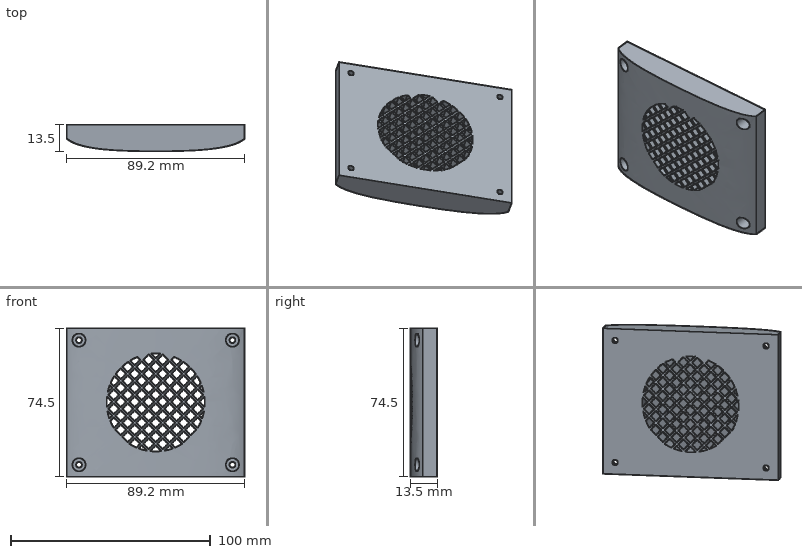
import cadquery as cq
import math

width = 89.2
height = 74.5
depth = 13.5
edge_depth = 7.1

crown_handle = 22.6
edge_handle = 6.2
edge_slope = 0.83

screw_x = 38.45
screw_z = 31.2
screw_diameter = 2.8
head_diameter = 6.6
head_floor_depth = 3.6

grille_diameter = 49.1
openings_across = 7
lattice_pitch = grille_diameter / openings_across
opening_side = 3.75
lattice_rise = 0.31
closed_steps = [(-2, 7), (2, 7)]


def make_plate():
    half_width = width / 2
    edge_y = -edge_depth
    handle_x = half_width - edge_handle
    handle_y = edge_y - edge_slope * edge_handle
    profile = (
        cq.Workplane("XY")
        .moveTo(-half_width, 0)
        .lineTo(-half_width, edge_y)
        .bezier(
            [(-half_width, edge_y), (-handle_x, handle_y), (-crown_handle, -depth), (0, -depth)]
        )
        .bezier([(0, -depth), (crown_handle, -depth), (handle_x, handle_y), (half_width, edge_y)])
        .lineTo(half_width, 0)
        .close()
    )
    return profile.extrude(height).translate((0, 0, -height / 2))


def make_screw_cuts():
    corners = [(x, z) for x in (-screw_x, screw_x) for z in (-screw_z, screw_z)]
    shanks = cq.Workplane("XZ").pushPoints(corners).circle(screw_diameter / 2).extrude(depth)
    heads = (
        cq.Workplane("XZ", origin=(0, -head_floor_depth, 0))
        .pushPoints(corners)
        .circle(head_diameter / 2)
        .extrude(depth - head_floor_depth)
    )
    return shanks.union(heads)


def opening_centres():
    step = lattice_pitch / 2
    reach = grille_diameter / 2 + opening_side / 2
    steps = range(-openings_across, openings_across + 1)
    centres = []
    for i in steps:
        for j in steps:
            x = i * step
            z = j * step + lattice_rise
            is_opening = (i + j) % 2 == 1 and (i, j) not in closed_steps
            if is_opening and math.hypot(x, z) < reach:
                centres.append((x, z))
    return centres


def make_grille_cuts():
    openings = (
        cq.Workplane("XZ")
        .pushPoints(opening_centres())
        .polygon(4, opening_side * math.sqrt(2))
        .extrude(depth)
    )
    disc = cq.Workplane("XZ").circle(grille_diameter / 2).extrude(depth)
    return openings.intersect(disc)


result = make_plate().cut(make_screw_cuts()).cut(make_grille_cuts())